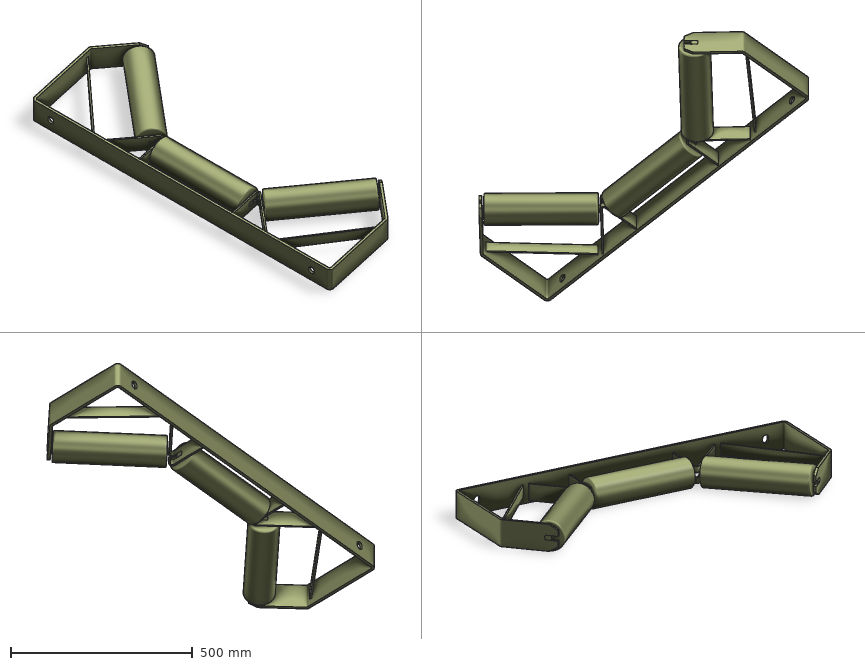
import cadquery as cq
import math

frame_width = 1050.0
frame_depth = 370.42
bar_height = 80.0
bar_thickness = 8.0
bar_bend_radius = 13.0
arm_root_y = 255.0
arm_chamfer_length = 25.0
arm_chamfer_height = 15.0
mount_slot_x = 458.0
mount_slot_width = 19.0
mount_slot_height = 25.0

drum_diameter = 89.0
drum_length = 315.0
drum_edge_radius = 5.0
shaft_diameter = 20.0
shaft_flat_width = 14.0
flat_clearance = 1.0
middle_end_gap = 4.0
roller_drop = 7.0
middle_roller_y = 101.0
side_roller_x = -308.7
side_roller_y = 229.4
side_angle = 45.0

strip_height = 50.0
strip_thickness = 5.0
strip_bend_radius = 10.0

brace_thickness = 5.0
brace_height = 35.0
brace_angle = 48.3
brace_wall_y = 241.0

half_width = frame_width / 2
wall_x = -half_width + bar_thickness
side_cos = math.cos(math.radians(side_angle))
side_sin = math.sin(math.radians(side_angle))
cut_margin = 5.0

middle_face = drum_length / 2 + middle_end_gap
middle_back = middle_face + strip_thickness
arm_back = (side_roller_x + half_width) * side_cos + (arm_root_y - side_roller_y) * side_sin
side_face = arm_back - bar_thickness
side_back = side_face + strip_thickness

side_tilt = math.degrees(math.asin(roller_drop / (arm_back + side_back)))
side_roller_z = -roller_drop * arm_back / (arm_back + side_back)


def place_side(shape):
    """Carry a shape on the X axis, slot mouth towards +Y, to the left side roller's place."""
    tilted = shape.rotate((0, 0, 0), (0, 1, 0), side_tilt)
    turned = tilted.rotate((0, 0, 0), (0, 0, 1), -side_angle)
    return turned.translate((side_roller_x, side_roller_y, side_roller_z))


def place_middle(shape):
    return shape.translate((0, middle_roller_y, -roller_drop))


def mirrored(body):
    return body.mirror("YZ")


def rod(diameter, start, end):
    """Cylinder on the X axis from x = start to x = end."""
    return cq.Workplane("YZ").workplane(offset=start).circle(diameter / 2).extrude(end - start)


def flat_rod(start, end):
    """Length of shaft with two flats, facing up and down."""
    flats = cq.Workplane("XY").box(
        end - start, shaft_diameter, shaft_flat_width, centered=(False, True, True)
    )
    return rod(shaft_diameter, start, end).intersect(flats.translate((start, 0, 0)))


def make_roller(plate_face, left_back, right_back):
    """Drum and shaft on the X axis, given the distances to the plates' near and far faces."""
    flat_start = plate_face - flat_clearance
    drum = rod(drum_diameter, -drum_length / 2, drum_length / 2)
    drum = drum.faces("<X or >X").edges().fillet(drum_edge_radius)
    return (
        drum.union(rod(shaft_diameter, -flat_start, flat_start))
        .union(flat_rod(-left_back, -flat_start))
        .union(flat_rod(flat_start, right_back))
    )


def shaft_slot(start, end):
    """Cutter for a slot that seats a shaft end and opens towards +Y."""
    mouth = cq.Workplane("XY").box(
        end - start, frame_depth, shaft_flat_width, centered=(False, False, True)
    )
    return flat_rod(start, end).union(mouth.translate((start, 0, 0)))


def fillet_upright(body, point, radius):
    """Round the vertical edge nearest to a point in plan."""
    return body.edges(cq.selectors.NearestToPointSelector((*point, 0))).fillet(radius)


def make_frame():
    arm_rise = frame_depth - arm_root_y
    arm_end = (-half_width + arm_rise * side_sin / side_cos, frame_depth)
    miter = bar_thickness * math.tan(math.radians(side_angle / 2))
    foot = (-half_width, 0)
    foot_inside = (wall_x, bar_thickness)
    root = (-half_width, arm_root_y)
    root_inside = (wall_x, arm_root_y - miter)
    arm_end_inside = (arm_end[0] + bar_thickness * side_cos, arm_end[1] - bar_thickness * side_sin)
    half = (
        cq.Workplane("XY")
        .polyline([(0, 0), foot, root, arm_end, arm_end_inside, root_inside, foot_inside, (0, bar_thickness)])
        .close()
        .extrude(bar_height / 2, both=True)
        .clean()
    )
    for outside, inside in ((foot, foot_inside), (root, root_inside)):
        half = fillet_upright(half, outside, bar_bend_radius)
        half = fillet_upright(half, inside, bar_bend_radius - bar_thickness)

    top_corner = (
        cq.Workplane("XZ")
        .moveTo(0, bar_height / 2)
        .lineTo(-arm_chamfer_length, bar_height / 2)
        .lineTo(0, bar_height / 2 - arm_chamfer_height)
        .close()
        .extrude(bar_thickness + cut_margin, both=True)
        .rotate((0, 0, 0), (0, 0, 1), side_angle)
        .translate((*arm_end, 0))
    )
    half = half.cut(top_corner).cut(top_corner.mirror("XY"))

    half = half.cut(place_side(shaft_slot(-arm_back - cut_margin, -side_face + flat_clearance)))
    mount_slot = (
        cq.Workplane("XZ")
        .center(-mount_slot_x, 0)
        .slot2D(mount_slot_height, mount_slot_width, 90)
        .extrude(-bar_thickness)
    )
    half = half.cut(mount_slot)
    return half.union(mirrored(half)).clean()


def make_bracket():
    """Left bracket: an upright leg at the middle roller and a sloping leg at the side roller."""
    slope = side_cos / side_sin
    upright_front = -middle_face
    upright_back = -middle_back
    seat_x = side_roller_x + side_face * side_cos
    seat_y = side_roller_y - side_face * side_sin
    apex = (upright_front, seat_y + (upright_front - seat_x) * slope)
    back_drop = strip_thickness / side_sin
    apex_inside = (upright_back, seat_y + (upright_back - seat_x) * slope - back_drop)
    toe = (upright_back - (apex_inside[1] - bar_thickness) / slope, bar_thickness)
    toe_top = (toe[0] - strip_thickness * side_cos, toe[1] + strip_thickness * side_sin)
    strip = (
        cq.Workplane("XY")
        .polyline([
            (upright_front, bar_thickness), apex, toe_top, toe, apex_inside, (upright_back, bar_thickness),
        ])
        .close()
        .extrude(strip_height / 2, both=True)
        .clean()
        .translate((0, 0, -roller_drop))
    )
    strip = fillet_upright(strip, apex, strip_bend_radius)
    strip = fillet_upright(strip, apex_inside, strip_bend_radius - strip_thickness)
    side_slot = shaft_slot(side_face - flat_clearance, side_back + cut_margin)
    middle_slot = shaft_slot(-middle_back - cut_margin, -middle_face + flat_clearance)
    return strip.cut(place_side(side_slot)).cut(place_middle(middle_slot))


def make_brace():
    """Left brace: cut flush against the frame's side wall, square at its lower end."""
    angle = math.radians(brace_angle)
    wall_low_y = brace_wall_y - brace_thickness / math.cos(angle)
    toe_x = wall_x + (wall_low_y - bar_thickness) / math.tan(angle)
    toe_top = (toe_x + brace_thickness * math.sin(angle), bar_thickness + brace_thickness * math.cos(angle))
    return (
        cq.Workplane("XY")
        .polyline([(wall_x, brace_wall_y), (wall_x, wall_low_y), (toe_x, bar_thickness), toe_top])
        .close()
        .extrude(brace_height / 2, both=True)
        .clean()
    )


frame = make_frame()
middle_roller = place_middle(make_roller(middle_face, middle_back, middle_back))
side_roller = place_side(make_roller(side_face, arm_back, side_back))
bracket = make_bracket()
brace = make_brace()

bodies = [frame, middle_roller]
for left_body in (side_roller, bracket, brace):
    bodies.extend([left_body, mirrored(left_body)])

result = cq.Compound.makeCompound([body.val() for body in bodies])